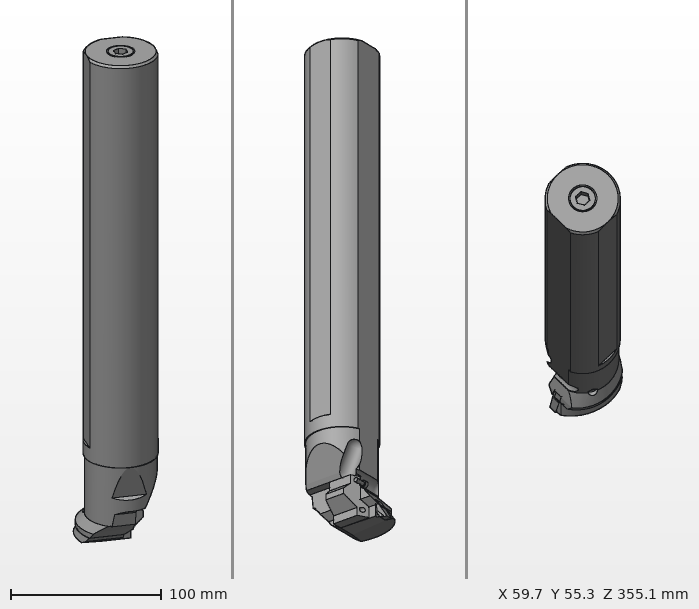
import cadquery as cq
import math


bar_length = 355.1
shank_radius = 25.0
side_flat_distance = 23.5
back_flat_distance = 22.35
side_flat_bottom = 73.3
end_chamfer = 1.5
neck_top = 63.4
neck_radius = 24.2
neck_centre = (-0.1, 0.2)

plug_radius = 8.4
plug_length = 12.0
plug_seat_chamfer = 1.0
plug_hex_flats = 8.4
plug_hex_depth = 6.0

flare_top = 20.1
rim_top = 13.2
blade_top = 9.5
rim_centre = (-4.0, 1.7)
rim_radius = 30.7
head_left_edge = [(-21.2, 21.6), (-27.6, 13.3), (-34.1, 0.8)]
head_right_edge = [(2.0, 1.6), (10.2, 6.5), (15.6, 14.6), (21.4, 22.3)]

blade_centre_y = 0.7
blade_top_x = -2.0
blade_top_radius = 29.4
blade_low_y = -30.31
blade_heel_z = 4.5
blade_foot_z = 0.9
blade_slant_end_y = -10.0
blade_slope_x = 0.4
heel_radius = blade_centre_y - blade_low_y
blade_spread = (heel_radius - blade_top_radius) / (blade_top - blade_heel_z)

pocket_floor_y = 4.5
pocket_step_z = 31.0
pocket_knee_z = 14.0
pocket_ramp_foot = (12.9, 34.0)
pocket_ramp_rise = 1.68
blade_face_y = -1.0

relief_depth_x = 21.0
relief_end_z = 40.0
relief_step = 2.0
lower_relief_top = 32.0
lower_relief_lead = 3.0
lower_relief_depth_x = 21.8

screw_groove_radius = 6.0
screw_groove_x = -24.0
screw_groove_z = 27.0
screw_groove_low_y = -11.8
chip_groove_radius = 6.2
chip_groove_start = (-22.5, 13.3, 49.0)
chip_groove_end = (-14.0, 13.0, 32.0)

tip_x = -34.67
insert_height = 13.5
insert_top_x = -27.4
insert_length = 5.5
insert_end_rise = 0.7
insert_width = 6.5
insert_foot_width = 5.4
insert_top_y = -1.0
insert_lean = 3.0

rake_inner_y = -2.7
rake_outer_y = -4.4

clamp_reach_y = 15.0
clamp_shoulder_y = 10.8
clamp_nose_y = 6.5
clamp_right_x = 2.0
clamp_end_lower = (-22.0, blade_face_y)
clamp_end_upper = (-13.0, clamp_reach_y)
clamp_nose_bottom = 1.6
clamp_nose_top = 7.5
clamp_bulge_bottom = 16.0
clamp_bulge_top = 20.2
clamp_shoulder_z = 24.5
coolant_hole_radius = 1.8
coolant_hole_yz = (3.2, 6.5)
coolant_hole_end_x = -10.0

screw_x = -18.5
screw_head_radius = 2.6
screw_head_length = 2.5
screw_head_y = -1.0
screw_stem_radius = 1.5
screw_tip_y = 9.0

set_hole_centre = (-11.5, -21.3, 21.0)
set_hole_radius = 3.3
set_hole_depth = 9.0
set_hole_tilt = 25.0
set_screw_length = 6.0
set_socket_radius = 1.2
set_socket_depth = 2.0

far = 60.0


def prism_along_x(outline_yz, x_from=-far, x_to=far):
    plane = cq.Workplane("YZ", origin=(x_from, 0, 0))
    return plane.polyline(outline_yz).close().extrude(x_to - x_from)


def prism_along_y(outline_xz, y_from=-far, y_to=far):
    plane = cq.Workplane("XZ", origin=(0, y_to, 0))
    return plane.polyline(outline_xz).close().extrude(y_to - y_from)


def prism_along_z(outline_xy, z_from=-far, z_to=far):
    plane = cq.Workplane("XY", origin=(0, 0, z_from))
    return plane.polyline(outline_xy).close().extrude(z_to - z_from)


def cylinder(start, direction, radius, length):
    return cq.Workplane(
        cq.Solid.makeCylinder(radius, length, cq.Vector(*start), cq.Vector(*direction))
    )


def ball_ended_groove(start, end, radius):
    run = cq.Vector(*end) - cq.Vector(*start)
    groove = cylinder(start, run.toTuple(), radius, run.Length)
    for centre in (start, end):
        groove = groove.union(cq.Workplane("XY").sphere(radius).translate(centre))
    return groove


def oblique_cone(low_centre, low_radius, high_centre, high_radius):
    low = cq.Wire.makeCircle(low_radius, cq.Vector(*low_centre), cq.Vector(0, 0, 1))
    high = cq.Wire.makeCircle(high_radius, cq.Vector(*high_centre), cq.Vector(0, 0, 1))
    return cq.Workplane(cq.Solid.makeLoft([low, high], True))


def make_shank():
    shank = (
        cq.Workplane("XY", origin=(0, 0, neck_top))
        .circle(shank_radius)
        .extrude(bar_length - neck_top)
        .faces(">Z")
        .chamfer(end_chamfer)
    )
    for side in (-1, 1):
        flat_cut = cq.Workplane("XY").box(
            far, far, bar_length, centered=(True, True, False)
        )
        flat_y = side * (side_flat_distance + far / 2)
        shank = shank.cut(flat_cut.translate((0, flat_y, side_flat_bottom)))
    return shank


def make_neck():
    neck = (
        cq.Workplane("XY", origin=(*neck_centre, flare_top))
        .circle(neck_radius)
        .extrude(neck_top - flare_top)
    )
    relief = [
        (shank_radius, neck_top),
        (neck_radius, neck_top),
        (relief_depth_x, relief_end_z + relief_step / 2),
        (shank_radius, relief_end_z - relief_step / 2),
    ]
    lower_relief = [
        (shank_radius, lower_relief_top),
        (lower_relief_depth_x, lower_relief_top - lower_relief_lead),
        (relief_depth_x, flare_top),
        (shank_radius, flare_top),
    ]
    return neck.cut(prism_along_y(relief)).cut(prism_along_y(lower_relief))


def head_silhouette():
    return prism_along_y(head_left_edge + head_right_edge)


def make_flare():
    flare = oblique_cone(
        (*rim_centre, rim_top), rim_radius, (*neck_centre, flare_top), neck_radius
    )
    rim = cylinder((*rim_centre, blade_top), (0, 0, 1), rim_radius, rim_top - blade_top)
    return flare.union(rim).intersect(head_silhouette())


def chip_pocket():
    ramp_foot_y, ramp_foot_z = pocket_ramp_foot
    outline = [
        (far, ramp_foot_z + pocket_ramp_rise * (far - ramp_foot_y)),
        pocket_ramp_foot,
        (clamp_shoulder_y, pocket_step_z),
        (pocket_floor_y, pocket_step_z),
        (pocket_floor_y, pocket_knee_z),
        (blade_face_y, blade_top),
        (blade_face_y, -far),
        (far, -far),
    ]
    return prism_along_x(outline)


def make_insert():
    foot_y = insert_top_y - insert_lean
    side = [
        (insert_top_x, insert_height),
        (insert_top_x + insert_length, insert_height),
        (tip_x + insert_length, insert_end_rise),
        (tip_x, 0),
    ]
    front = [
        (insert_top_y, insert_height),
        (insert_top_y - insert_width, insert_height),
        (foot_y - insert_foot_width, 0),
        (foot_y, 0),
    ]
    return prism_along_y(side).intersect(prism_along_x(front))


def rake_clearance():
    outline = [
        (insert_top_x, blade_face_y),
        (insert_top_x, rake_inner_y),
        (tip_x, rake_outer_y),
        (tip_x, blade_face_y),
    ]
    return prism_along_z(outline, 0, rim_top)


def make_blade():
    blade = oblique_cone(
        (blade_top_x - blade_slope_x * blade_top, blade_centre_y, 0),
        blade_top_radius + blade_spread * blade_top,
        (blade_top_x, blade_centre_y, blade_top),
        blade_top_radius,
    ).intersect(head_silhouette())
    outline = [
        (blade_face_y, blade_top),
        (blade_low_y, blade_top),
        (blade_low_y, blade_heel_z),
        (blade_slant_end_y, blade_foot_z),
        (blade_face_y, blade_foot_z),
    ]
    return blade.intersect(prism_along_x(outline))


def make_clamp():
    outline = [
        (pocket_floor_y, pocket_step_z),
        (clamp_shoulder_y, pocket_step_z),
        (clamp_shoulder_y, clamp_shoulder_z),
        (clamp_reach_y, clamp_bulge_top),
        (clamp_reach_y, clamp_bulge_bottom),
        (clamp_nose_y, clamp_nose_top),
        (clamp_nose_y, clamp_nose_bottom),
        (blade_face_y, clamp_nose_bottom),
        (blade_face_y, blade_top),
        (pocket_floor_y, pocket_knee_z),
    ]
    plan = [
        clamp_end_lower,
        (clamp_right_x, blade_face_y),
        (clamp_right_x, clamp_reach_y),
        clamp_end_upper,
    ]
    block = prism_along_x(outline).intersect(prism_along_z(plan))
    hole_length = coolant_hole_end_x - tip_x
    return block.cut(cylinder((tip_x, *coolant_hole_yz), (1, 0, 0), coolant_hole_radius, hole_length))


def make_clamp_screw():
    head = cylinder((screw_x, screw_head_y, screw_groove_z), (0, 1, 0), screw_head_radius, screw_head_length)
    stem_length = screw_tip_y - screw_head_y
    stem = cylinder((screw_x, screw_head_y, screw_groove_z), (0, 1, 0), screw_stem_radius, stem_length)
    return head.union(stem)


def plug_cylinder():
    return cylinder((0, 0, bar_length - plug_length), (0, 0, 1), plug_radius, plug_length)


def make_plug():
    plug = plug_cylinder()
    hex_corners = plug_hex_flats / math.cos(math.radians(30))
    socket = (
        cq.Workplane("XY", origin=(0, 0, bar_length - plug_hex_depth))
        .polygon(6, hex_corners)
        .extrude(plug_hex_depth)
    )
    return plug.cut(socket)


def plug_seat():
    bore = plug_cylinder()
    mouth = cq.Solid.makeCone(
        plug_radius,
        plug_radius + plug_seat_chamfer,
        plug_seat_chamfer,
        cq.Vector(0, 0, bar_length - plug_seat_chamfer),
    )
    return bore.union(cq.Workplane(mouth))


tilt = math.radians(set_hole_tilt)
set_hole_azimuth = math.atan2(set_hole_centre[1], set_hole_centre[0])
set_axis = cq.Vector(
    math.cos(tilt) * math.cos(set_hole_azimuth),
    math.cos(tilt) * math.sin(set_hole_azimuth),
    math.sin(tilt),
)
set_hole_bottom = cq.Vector(*set_hole_centre) - set_axis * set_hole_depth


def set_screw_hole():
    return cylinder(set_hole_bottom.toTuple(), set_axis.toTuple(), set_hole_radius, 2 * set_hole_depth)


def make_set_screw():
    screw = cylinder(set_hole_bottom.toTuple(), set_axis.toTuple(), set_hole_radius, set_screw_length)
    socket_start = set_hole_bottom + set_axis * (set_screw_length - set_socket_depth)
    socket = cylinder(socket_start.toTuple(), set_axis.toTuple(), set_socket_radius, set_socket_depth)
    return screw.cut(socket)


def screw_groove():
    return ball_ended_groove(
        (screw_groove_x, screw_groove_low_y, screw_groove_z),
        (screw_groove_x, shank_radius, screw_groove_z),
        screw_groove_radius,
    )


def make_bar():
    bar = make_shank().union(make_neck())
    back_cut = cq.Workplane("XY").box(far, 2 * far, bar_length, centered=(True, True, False))
    bar = bar.cut(back_cut.translate((-back_flat_distance - far / 2, 0, flare_top)))
    bar = bar.union(make_flare())
    bar = bar.cut(chip_pocket())
    bar = bar.cut(screw_groove())
    bar = bar.cut(ball_ended_groove(chip_groove_start, chip_groove_end, chip_groove_radius))
    return bar.cut(plug_seat()).cut(set_screw_hole())


plug = make_plug()
insert = make_insert()
clamp_screw = make_clamp_screw()
set_screw = make_set_screw()
clamp = make_clamp().cut(clamp_screw)
blade = make_blade().cut(rake_clearance()).cut(insert)
bar = make_bar().cut(rake_clearance()).cut(insert).cut(clamp_screw)

result = cq.Compound.makeCompound(
    [
        bar.solids().val(),
        plug.solids().val(),
        blade.solids().val(),
        insert.solids().val(),
        clamp.solids().val(),
        clamp_screw.solids().val(),
        set_screw.solids().val(),
    ]
)